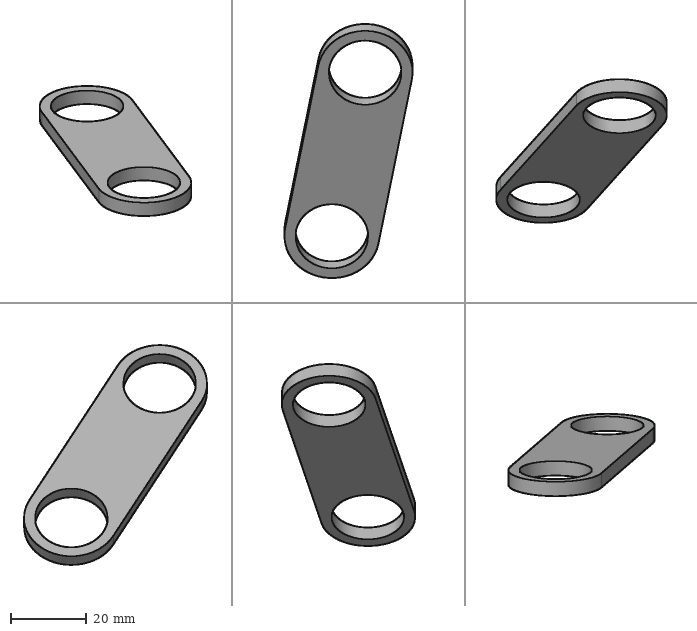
import cadquery as cq

length = 75.2
width = 25.2
thickness = 4.0
hole_diameter = 19.25

hole_spacing = length - width

plate = cq.Workplane("XY").slot2D(length, width).extrude(thickness)

result = (
    plate.faces(">Z")
    .workplane(origin=(0, 0, thickness))
    .pushPoints([(-hole_spacing / 2, 0), (hole_spacing / 2, 0)])
    .hole(hole_diameter)
)